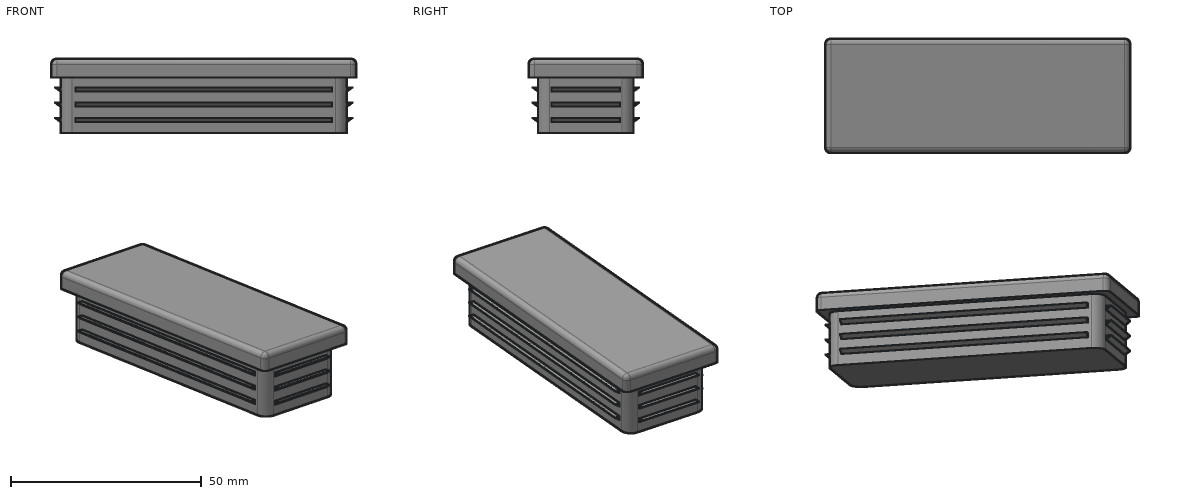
import cadquery as cq

length = 80.0
width = 30.0
total_height = 19.5
cap_height = 5.0
cap_radius = 1.5

plug_inset = 2.5
plug_corner_radius = 3.0
plug_length = length - 2 * plug_inset
plug_width = width - 2 * plug_inset
plug_height = total_height - cap_height

fin_reach = 1.4
fin_thickness = 1.0
fin_pitch = 4.0
fin_count = 3
first_fin_drop = 2.6
long_fin_length = 67.2
short_fin_length = 18.1
fin_root_overlap = 0.4


def make_cap():
    """Slab with rounded vertical corners and a rounded top edge."""
    slab = cq.Workplane("XY").workplane(offset=plug_height).rect(length, width).extrude(cap_height)
    return slab.edges("|Z or >Z").fillet(cap_radius)


def make_plug():
    """Solid block with rounded vertical corners."""
    block = cq.Workplane("XY").rect(plug_length, plug_width).extrude(plug_height)
    return block.edges("|Z").fillet(plug_corner_radius)


def make_fin(face_distance, fin_length, top_z):
    """Fin on the -Y side: flat top, sharp tip and underside sloping back to the plug."""
    return (
        cq.Workplane("YZ")
        .moveTo(-face_distance - fin_reach, top_z)
        .lineTo(-face_distance + fin_root_overlap, top_z)
        .lineTo(-face_distance + fin_root_overlap, top_z - fin_thickness)
        .lineTo(-face_distance, top_z - fin_thickness)
        .close()
        .extrude(fin_length / 2, both=True)
    )


result = make_cap().union(make_plug())

for level in range(fin_count):
    fin_top = plug_height - first_fin_drop - level * fin_pitch
    long_fin = make_fin(plug_width / 2, long_fin_length, fin_top)
    short_fin = make_fin(plug_length / 2, short_fin_length, fin_top)
    for fin, angles in ((long_fin, (0, 180)), (short_fin, (90, 270))):
        for angle in angles:
            result = result.union(fin.rotate((0, 0, 0), (0, 0, 1), angle))